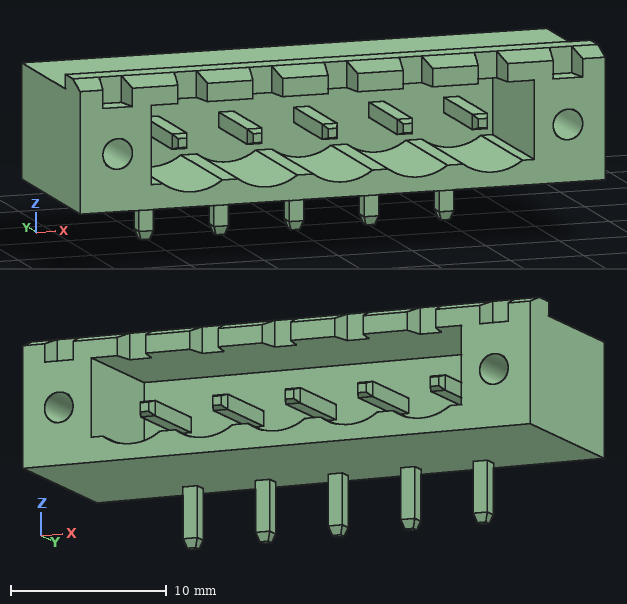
import cadquery as cq

pitch = 5.08
contact_count = 5
width = (contact_count + 2) * pitch
contact_xs = [(i - (contact_count - 1) / 2) * pitch for i in range(contact_count)]
flange_xs = [-(width - pitch) / 2, (width - pitch) / 2]
slot_xs = [flange_xs[0], *contact_xs, flange_xs[1]]

depth = 12.0
height = 8.6
rear_height = 7.65
rim_depth = 3.0
bevel_depth = 1.5
bevel_drop = 0.55

cavity_width = 25.9
cavity_depth = 8.5
cavity_floor = 1.65
cavity_top = 6.85
scallop_width = 4.0
scallop_drop = 0.65

slot_depth = bevel_depth
slot_front_width = 2.0
slot_back_width = 1.5

insert_z = 3.8
insert_diameter = 4.0
insert_bore = 2.0
insert_depth = 6.0

pin_size = 1.0
pin_tip_size = 0.6
pin_tip_length = 0.6
solder_pin_length = 4.0
solder_pin_y = depth - 2.0
contact_z = insert_z
contact_tip_y = 2.1
pin_embed = 1.0


def housing_block():
    profile = [
        (0, 0),
        (depth, 0),
        (depth, rear_height),
        (rim_depth, rear_height),
        (rim_depth, height),
        (bevel_depth, height),
        (0, height - bevel_drop),
    ]
    return cq.Workplane("YZ").polyline(profile).close().extrude(width / 2, both=True)


def cavity():
    half_width = cavity_width / 2
    outline = cq.Workplane("XZ").moveTo(-half_width, cavity_top).lineTo(-half_width, cavity_floor)
    for x in contact_xs:
        outline = outline.lineTo(x - scallop_width / 2, cavity_floor)
        outline = outline.threePointArc(
            (x, cavity_floor - scallop_drop),
            (x + scallop_width / 2, cavity_floor),
        )
    outline = outline.lineTo(half_width, cavity_floor).lineTo(half_width, cavity_top).close()
    return outline.extrude(-cavity_depth)


def keying_slot(x):
    plan = [
        (x - slot_front_width / 2, 0),
        (x + slot_front_width / 2, 0),
        (x + slot_back_width / 2, slot_depth),
        (x - slot_back_width / 2, slot_depth),
    ]
    slot = cq.Workplane("XY").workplane(offset=cavity_top).polyline(plan).close()
    return slot.extrude(height - cavity_top)


def front_cylinder(x, diameter):
    return cq.Workplane("XZ").center(x, insert_z).circle(diameter / 2).extrude(-insert_depth)


def tapered_pin(plane, length):
    """Square pin along the plane normal, narrowing to its tip at the given length."""
    shank_length = length - pin_tip_length
    shank = cq.Workplane(plane).rect(pin_size, pin_size).extrude(shank_length)
    tip = (
        shank.faces(cq.selectors.DirectionMinMaxSelector(plane.zDir, True))
        .workplane(centerOption="CenterOfMass")
        .rect(pin_size, pin_size)
        .workplane(offset=pin_tip_length)
        .rect(pin_tip_size, pin_tip_size)
        .loft(combine=False)
    )
    return shank.union(tip)


def contact_pin(x):
    root = cq.Plane((x, cavity_depth + pin_embed, contact_z), xDir=(1, 0, 0), normal=(0, -1, 0))
    return tapered_pin(root, cavity_depth + pin_embed - contact_tip_y)


def solder_pin(x):
    root = cq.Plane((x, solder_pin_y, pin_embed), xDir=(1, 0, 0), normal=(0, 0, -1))
    return tapered_pin(root, solder_pin_length + pin_embed)


result = housing_block().cut(cavity())
for slot_x in slot_xs:
    result = result.cut(keying_slot(slot_x))
for contact_x in contact_xs:
    result = result.union(contact_pin(contact_x)).union(solder_pin(contact_x))

for flange_x in flange_xs:
    seat = front_cylinder(flange_x, insert_diameter)
    insert = seat.cut(front_cylinder(flange_x, insert_bore))
    result = result.cut(seat, clean=False).union(insert, clean=False)